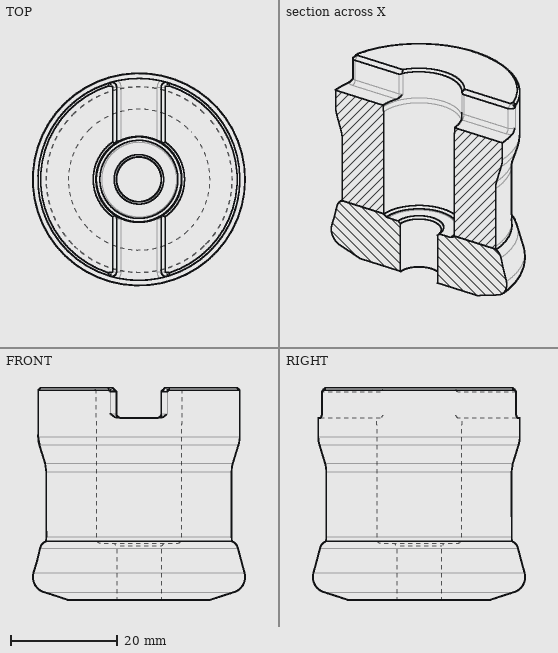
import cadquery as cq
import math

joint_height = 11.1
seat_radius = 17.53

total_height = 40.0
head_radius = 38.0 / 2
waist_radius = 34.93 / 2
seat_height = 0.8
taper_top = 30.0
taper_bottom = 25.0
taper_blend = 5.3
rim_chamfer = 0.5

bore_radius = 16.0 / 2
clearance_radius = 16.2 / 2
clearance_depth = 6.0
lead_in_height = 1.0

slot_width = 8.4
slot_depth = 5.7
slot_end_round = 0.9
slot_bore_round = 0.8
slot_floor_round = 0.8
slot_chamfer = 0.75
slot_overrun = 3.0

foot_radius = 20.0
foot_edge_round = 3.0
foot_shoulder_round = 2.0
side_angle = math.radians(15)
underside_angle = math.radians(18)
underside_inner_radius = 13.3

hole_radius = 8.4 / 2
hole_chamfer = 0.46
dish_middle_radius = 7.35
dish_middle_depth = 0.38
dish_floor_radius = 7.04
dish_floor_depth = 0.43


def polar(centre, radius, angle):
    return (centre[0] + radius * math.cos(angle), centre[1] + radius * math.sin(angle))


def revolve_about_z(profile):
    return profile.close().revolve(360, (0, 0, 0), (0, 1, 0))


def make_sleeve_blank():
    clearance_end = total_height - clearance_depth
    blank = revolve_about_z(
        cq.Workplane("XZ")
        .moveTo(bore_radius, joint_height)
        .lineTo(seat_radius, joint_height)
        .lineTo(waist_radius, joint_height + seat_height)
        .lineTo(waist_radius, taper_bottom)
        .lineTo(head_radius, taper_top)
        .lineTo(head_radius, total_height - rim_chamfer)
        .lineTo(head_radius - rim_chamfer, total_height)
        .lineTo(clearance_radius + rim_chamfer, total_height)
        .lineTo(clearance_radius, total_height - rim_chamfer)
        .lineTo(clearance_radius, clearance_end)
        .lineTo(bore_radius, clearance_end - lead_in_height)
    )
    margin = 0.1
    taper_ends = cq.selectors.BoxSelector(
        (-head_radius, -head_radius, taper_bottom - margin),
        (head_radius, head_radius, taper_top + margin),
    )
    return blank.edges(taper_ends).fillet(taper_blend)


def make_slot_outline(height, follow_bore):
    """Closed outline of the slot whose ends flare into the head cylinder.

    With follow_bore it also widens along the bore, with rounded corners there.
    """
    half_width = slot_width / 2

    end_x = half_width + slot_end_round
    end_angle = math.acos(end_x / (head_radius - slot_end_round))
    end_y = end_x * math.tan(end_angle)
    end_middle = polar((end_x, end_y), slot_end_round, (math.pi + end_angle) / 2)
    head_touch = polar((0, 0), head_radius, end_angle)

    inner_x = half_width + slot_bore_round
    inner_angle = math.acos(inner_x / (clearance_radius + slot_bore_round))
    inner_y = inner_x * math.tan(inner_angle)
    inner_middle = polar((inner_x, inner_y), slot_bore_round, math.pi + inner_angle / 2)
    bore_touch = polar((0, 0), clearance_radius, inner_angle)

    far_y = head_radius + slot_overrun

    outline = cq.Workplane("XY", origin=(0, 0, height)).moveTo(-head_touch[0], far_y)
    for turn in (1, -1):

        def at(x, y):
            return (turn * x, turn * y)

        def mirrored(point):
            return at(point[0], -point[1])

        outline = (
            outline.lineTo(*at(head_touch[0], far_y))
            .lineTo(*at(*head_touch))
            .threePointArc(at(*end_middle), at(half_width, end_y))
        )
        if follow_bore:
            outline = (
                outline.lineTo(*at(half_width, inner_y))
                .threePointArc(at(*inner_middle), at(*bore_touch))
                .threePointArc(at(clearance_radius, 0), mirrored(bore_touch))
                .threePointArc(mirrored(inner_middle), at(half_width, -inner_y))
            )
        outline = (
            outline.lineTo(*at(half_width, -end_y))
            .threePointArc(mirrored(end_middle), mirrored(head_touch))
            .lineTo(*at(head_touch[0], -far_y))
        )
    return outline.close()


def make_slot_cutter():
    outline = make_slot_outline(total_height - slot_depth, follow_bore=True)
    cutter = outline.extrude(slot_depth + slot_overrun)
    return cutter.faces("<Z").edges().fillet(slot_floor_round)


def make_slot_chamfer_cutter():
    outline = make_slot_outline(total_height - slot_chamfer, follow_bore=False)
    return outline.extrude(slot_chamfer, taper=-45)


def make_sleeve():
    return make_sleeve_blank().cut(make_slot_cutter()).cut(make_slot_chamfer_cutter())


def make_foot():
    edge_x = foot_radius - foot_edge_round
    underside_end_x = edge_x + foot_edge_round * math.sin(underside_angle)
    underside_end_z = (underside_end_x - underside_inner_radius) * math.tan(underside_angle)
    edge_z = underside_end_z + foot_edge_round * math.cos(underside_angle)
    side_bottom = polar((edge_x, edge_z), foot_edge_round, side_angle)

    seat_to_side = (side_bottom[0] - seat_radius) * math.cos(side_angle) + (
        side_bottom[1] - joint_height
    ) * math.sin(side_angle)
    joint_angle = side_angle + math.acos(1 - seat_to_side / foot_shoulder_round)
    shoulder_centre = polar((seat_radius, joint_height), -foot_shoulder_round, joint_angle)
    side_top = polar(shoulder_centre, foot_shoulder_round, side_angle)
    shoulder_middle = polar(shoulder_centre, foot_shoulder_round, (side_angle + joint_angle) / 2)

    floor_height = joint_height - dish_floor_depth
    return revolve_about_z(
        cq.Workplane("XZ")
        .moveTo(hole_radius, 0)
        .lineTo(underside_inner_radius, 0)
        .lineTo(underside_end_x, underside_end_z)
        .threePointArc((foot_radius, edge_z), side_bottom)
        .lineTo(*side_top)
        .threePointArc(shoulder_middle, (seat_radius, joint_height))
        .lineTo(bore_radius, joint_height)
        .lineTo(dish_middle_radius, joint_height - dish_middle_depth)
        .lineTo(dish_floor_radius, floor_height)
        .lineTo(hole_radius + hole_chamfer, floor_height)
        .lineTo(hole_radius, floor_height - hole_chamfer)
    )


sleeve = make_sleeve()
foot = make_foot()
result = cq.Compound.makeCompound([sleeve.val(), foot.val()])